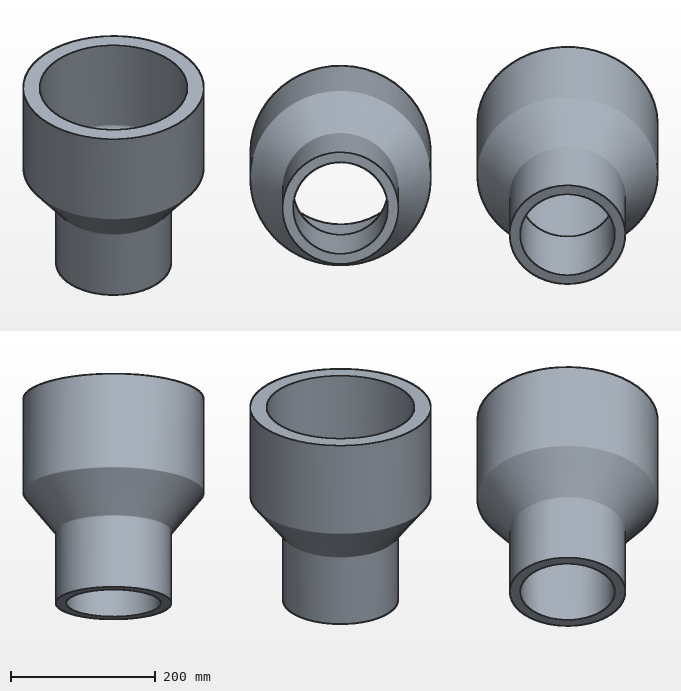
import cadquery as cq

total_height = 294.0
large_outer_diameter = 250.0
large_bore_diameter = 204.3
small_outer_diameter = 160.0
small_bore_diameter = 130.8
small_pipe_height = 102.5
taper_top = 159.0
outer_blend_radius = 2.0
bore_blend_radius = 5.0


def reducer_solid(large_diameter, small_diameter, blend_radius):
    """Solid of revolution: two cylinders joined by a taper with rounded ends."""
    large_radius = large_diameter / 2
    small_radius = small_diameter / 2
    half_section = (
        cq.Workplane("XZ")
        .lineTo(small_radius, 0)
        .lineTo(small_radius, small_pipe_height)
        .lineTo(large_radius, taper_top)
        .lineTo(large_radius, total_height)
        .lineTo(0, total_height)
        .close()
    )
    solid = half_section.revolve(360, (0, 0), (0, 1))
    taper_ends = solid.edges("%CIRCLE").edges("not(<Z or >Z)")
    return taper_ends.fillet(blend_radius)


outside = reducer_solid(large_outer_diameter, small_outer_diameter, outer_blend_radius)
bore = reducer_solid(large_bore_diameter, small_bore_diameter, bore_blend_radius)

result = outside.cut(bore)